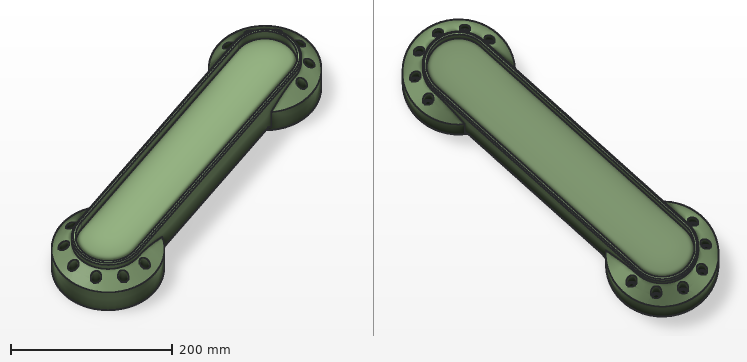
import cadquery as cq

total_length = 490.0
foot_diameter = 140.0
total_height = 60.0
foot_spacing = total_length - foot_diameter

foot_y = foot_spacing / 2
foot_radius = foot_diameter / 2
foot_wall_height = 35.0
cone_top_height = 50.0

along_y = 90
bar_width = 90.0
bar_bottom = 9.0
rim_wall = 5.0
rim_chamfer = 2.0
pocket_depth = 14.0
underside_chamfer = 2.5

bolt_circle_radius = 55.0
bolt_count = 6
bolt_arc = 180
bolt_hole_diameter = 9.0
counterbore_diameter = 13.0
counterbore_floor = 25.0


def bar_prism(width, bottom, top):
    """Upright slot-shaped prism whose end arcs are centred on the feet."""
    return (
        cq.Workplane("XY", origin=(0, 0, bottom))
        .slot2D(foot_spacing + width, width, along_y)
        .extrude(top - bottom)
    )


def revolved(profile, center_y):
    """Solid of revolution about the upright axis of the foot at center_y."""
    return (
        cq.Workplane("XZ")
        .polyline(profile)
        .close()
        .revolve(360, (0, 0, 0), (0, 1, 0))
        .translate((0, center_y, 0))
    )


def foot(center_y):
    """Cylinder topped by a cone that narrows to the width of the bar."""
    profile = [
        (0, 0),
        (foot_radius, 0),
        (foot_radius, foot_wall_height),
        (bar_width / 2, cone_top_height),
        (0, cone_top_height),
    ]
    return revolved(profile, center_y)


def underside_skirt(center_y):
    """Conical chamfer filling the corner between the bar's underside and a foot."""
    bottom = bar_bottom - underside_chamfer
    top = bar_bottom + underside_chamfer
    profile = [
        (0, bottom),
        (foot_radius, bottom),
        (foot_radius + top - bottom, top),
        (0, top),
    ]
    cone = revolved(profile, center_y)
    return cone.intersect(bar_prism(bar_width, bottom, top))


def bolt_holes(center_y, start_angle):
    """Cutting tools for one half circle of counterbored holes."""
    def cylinders(diameter, bottom):
        return (
            cq.Workplane("XY", origin=(0, center_y, bottom))
            .polarArray(bolt_circle_radius, start_angle, bolt_arc, bolt_count)
            .circle(diameter / 2)
            .extrude(total_height - bottom)
        )

    through = cylinders(bolt_hole_diameter, 0)
    return through.union(cylinders(counterbore_diameter, counterbore_floor))


bar = bar_prism(bar_width, bar_bottom, total_height)
bar = bar.faces(">Z").edges().chamfer(rim_chamfer)
bar = bar.faces("<Z").edges().chamfer(underside_chamfer)

body = bar
for center_y in (foot_y, -foot_y):
    body = body.union(foot(center_y)).union(underside_skirt(center_y))

pocket = bar_prism(bar_width - 2 * rim_wall, total_height - pocket_depth, total_height)
body = body.cut(pocket)

body = body.cut(bolt_holes(foot_y, 0))
body = body.cut(bolt_holes(-foot_y, 180))

result = body